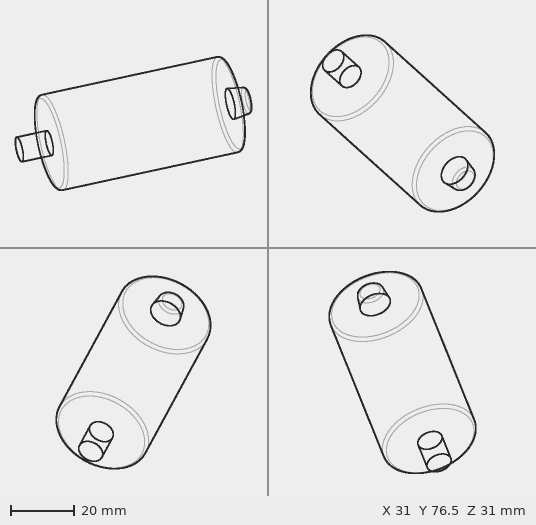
import cadquery as cq

overall_length = 76.5
case_diameter = 31.0
case_edge_radius = 1.0
pin_diameter = 8.0
pin_length = 10.0
boss_length = 6.0
boss_base_diameter = 10.0
boss_tip_diameter = 8.35
boss_edge_radius = 1.0

pin_tip_y = -overall_length / 2
case_front_y = pin_tip_y + pin_length
boss_tip_y = overall_length / 2
case_back_y = boss_tip_y - boss_length


def make_cylinder(diameter, start_y, end_y):
    """Solid cylinder around the Y axis."""
    return (
        cq.Workplane("XZ", origin=(0, start_y, 0))
        .circle(diameter / 2)
        .extrude(start_y - end_y)
    )


def make_boss():
    """Tapered boss on the back of the case, with a rounded tip."""
    boss = (
        cq.Workplane("XY")
        .moveTo(0, case_back_y)
        .lineTo(boss_base_diameter / 2, case_back_y)
        .lineTo(boss_tip_diameter / 2, boss_tip_y)
        .lineTo(0, boss_tip_y)
        .close()
        .revolve(360, (0, 0, 0), (0, 1, 0))
    )
    return boss.faces(">Y").edges().fillet(boss_edge_radius)


def make_case():
    """Cylindrical case with both rims rounded and the boss at its back end."""
    barrel = make_cylinder(case_diameter, case_front_y, case_back_y)
    barrel = barrel.faces("<Y or >Y").edges().fillet(case_edge_radius)
    return barrel.union(make_boss())


def make_pin():
    """Straight terminal pin that butts against the front face of the case."""
    return make_cylinder(pin_diameter, pin_tip_y, case_front_y)


case = make_case()
pin = make_pin()

result = cq.Compound.makeCompound([case.solids().val(), pin.val()])